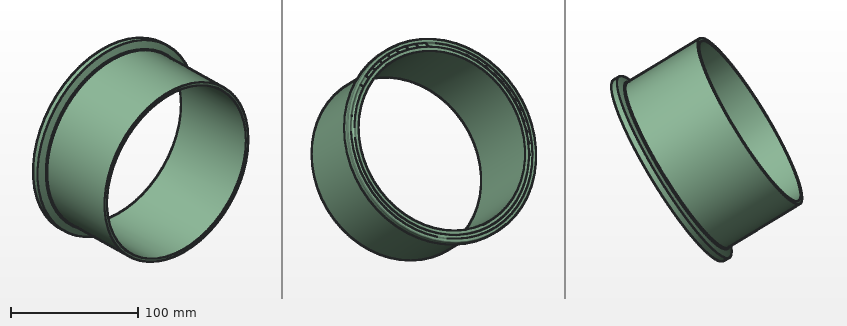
import cadquery as cq
import math

length = 76.3
flange_diameter = 166.9
tube_diameter = 152.4
bore_diameter = 146.9

rim_width = 5.7
taper_angle = 20.0
rim_round = 0.5
neck_round = 1.0

groove_diameter = 157.0
groove_width = 3.3
groove_depth = 1.3
groove_edge_round = 0.7

flange_radius = flange_diameter / 2
tube_radius = tube_diameter / 2
bore_radius = bore_diameter / 2
groove_radius = groove_diameter / 2
taper_length = (flange_radius - tube_radius) * math.tan(math.radians(taper_angle))
neck_x = rim_width + taper_length

MATCH_MARGIN = 0.02


def revolve_about_axis(profile):
    """Turn a profile drawn as (axial X, radial Y) about the X axis."""
    return profile.revolve(360, (0, 0, 0), (1, 0, 0))


def circular_edges(solid, x, radius):
    """Pick the full-circle edges at one axial place and radius."""
    return solid.edges("%CIRCLE").filter(
        lambda edge: math.isclose(edge.Center().x, x, abs_tol=MATCH_MARGIN)
        and math.isclose(edge.radius(), radius, abs_tol=MATCH_MARGIN)
    )


def make_body():
    """Tube with the tapered clamp flange at its -X end."""
    profile = (
        cq.Workplane("XY")
        .moveTo(0, bore_radius)
        .lineTo(0, flange_radius)
        .lineTo(rim_width, flange_radius)
        .lineTo(neck_x, tube_radius)
        .lineTo(length, tube_radius)
        .lineTo(length, bore_radius)
        .close()
    )
    body = revolve_about_axis(profile)
    body = circular_edges(body, 0, flange_radius).fillet(rim_round)
    return circular_edges(body, neck_x, tube_radius).fillet(neck_round)


def cut_gasket_groove(body):
    """Cut the ring groove with an arc section and round its two mouth edges."""
    inner_radius = groove_radius - groove_width / 2
    outer_radius = groove_radius + groove_width / 2
    section = (
        cq.Workplane("XY")
        .moveTo(0, inner_radius)
        .threePointArc((groove_depth, groove_radius), (0, outer_radius))
        .close()
    )
    body = body.cut(revolve_about_axis(section))
    for radius in (inner_radius, outer_radius):
        body = circular_edges(body, 0, radius).fillet(groove_edge_round)
    return body


result = cut_gasket_groove(make_body())